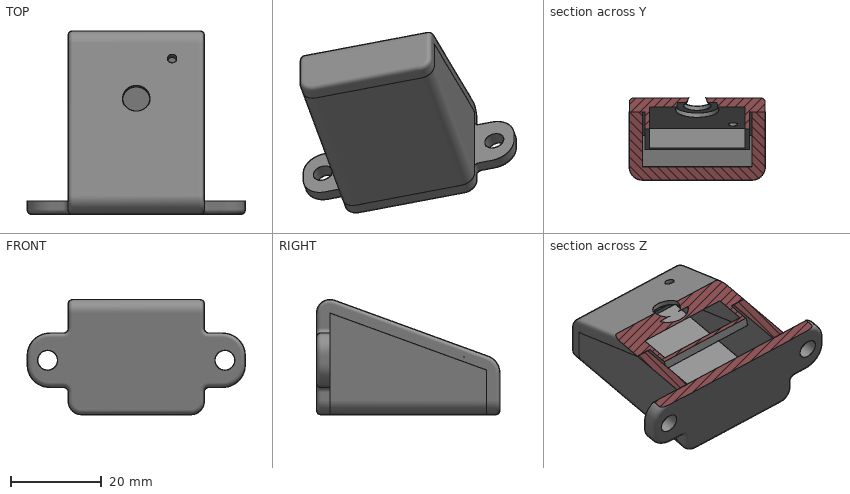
import cadquery as cq
import math

body_width = 30.0
body_depth = 40.37
body_height = 25.37
slope_angle = 20.0
front_top_radius = 3.0
back_top_radius = 4.0
bottom_side_radius = 3.0
edge_radius = 1.0

ear_span = 48.0
ear_height = 12.0
ear_center_z = 12.0
ear_thickness = 3.0
ear_corner_radius = 5.0
ear_root_radius = 1.0
screw_hole_diameter = 4.3
screw_hole_spacing = 39.0

cover_thickness = 3.0
base_thickness = 3.0

window_y = 25.55
window_diameter = 6.0
window_lip = 1.0
window_recess_diameter = 9.5
pinhole_diameter = 2.0
pinhole_x = 7.9
pinhole_offset = 9.3

pocket_width = 21.0
pocket_length = 24.0
pocket_top_depth = 2.0
rim_end_depth = 6.5
rim_thickness = 1.0

slope = math.radians(slope_angle)
slope_start_y = front_top_radius * (1 + math.sin(slope))
slope_start_z = body_height - front_top_radius * (1 - math.cos(slope))
overlap = 1.0


def slope_z(y):
    """Height of the sloping outer face at depth y."""
    return slope_start_z - (y - slope_start_y) * math.tan(slope)


def wedge(width, wall, bottom_z):
    """Sharp-edged body wedge, set in by `wall` from the front, back and slope."""
    front_y = wall
    back_y = body_depth - wall
    drop = wall / math.cos(slope)
    return (
        cq.Workplane("YZ")
        .moveTo(front_y, bottom_z)
        .lineTo(back_y, bottom_z)
        .lineTo(back_y, slope_z(back_y) - drop)
        .lineTo(front_y, slope_z(front_y) - drop)
        .close()
        .extrude(width / 2, both=True)
    )


def ear_plate():
    plate = (
        cq.Workplane("XY")
        .box(ear_span, ear_thickness, ear_height, centered=(True, False, True))
        .translate((0, 0, ear_center_z))
    )
    return plate.edges("|Y").fillet(ear_corner_radius)


def outer_shape():
    """Rounded outside of the closed enclosure, ears included, without holes or hollow."""
    block = wedge(body_width, 0, 0)
    block = block.faces("<Y").edges(">Z").fillet(front_top_radius)
    block = block.faces(">Y").edges(">Z").fillet(back_top_radius)
    block = block.edges("|Y").fillet(bottom_side_radius)
    block = block.union(ear_plate())

    margin = 0.1
    ear_roots = cq.selectors.BoxSelector(
        (-body_width / 2 - margin, -margin, ear_center_z - ear_height / 2 - margin),
        (body_width / 2 + margin, ear_thickness + margin, ear_center_z + ear_height / 2 + margin),
    )
    block = block.edges("|Y").edges(ear_roots).fillet(ear_root_radius)
    return block.faces("<Y or >Y").edges().fillet(edge_radius)


def below_panel(depth):
    """Workplane parallel to the slope, under the window centre, facing into the enclosure."""
    inward = cq.Vector(0, -math.sin(slope), -math.cos(slope))
    origin = cq.Vector(0, window_y, slope_z(window_y)) + inward * depth
    return cq.Workplane(cq.Plane(origin=origin, xDir=(1, 0, 0), normal=inward))


def pocket_rim():
    """Wall around the pocket, starting inside the panel."""
    return (
        below_panel(pocket_top_depth)
        .rect(pocket_width + 2 * rim_thickness, pocket_length + 2 * rim_thickness)
        .extrude(rim_end_depth - pocket_top_depth)
    )


def panel_openings():
    """Pocket, stepped window and pinhole as one cutting tool."""
    pocket = (
        below_panel(pocket_top_depth)
        .rect(pocket_width, pocket_length)
        .extrude(rim_end_depth - pocket_top_depth)
    )
    recess = (
        below_panel(window_lip)
        .circle(window_recess_diameter / 2)
        .extrude(pocket_top_depth - window_lip)
    )
    window = below_panel(-overlap).circle(window_diameter / 2).extrude(pocket_top_depth + overlap)
    pinhole = (
        below_panel(-overlap)
        .center(pinhole_x, -pinhole_offset)
        .circle(pinhole_diameter / 2)
        .extrude(pocket_top_depth + overlap)
    )
    return pocket.union(recess).union(window).union(pinhole)


def screw_holes():
    return (
        cq.Workplane("XZ", origin=(0, 0, ear_center_z))
        .pushPoints([(-screw_hole_spacing / 2, 0), (screw_hole_spacing / 2, 0)])
        .circle(screw_hole_diameter / 2)
        .extrude(-ear_thickness)
    )


def make_cover(outer):
    """Front wall with ears, sloping panel and back wall."""
    cover = outer.cut(wedge(ear_span, cover_thickness, -overlap))
    cover = cover.union(pocket_rim())
    return cover.cut(panel_openings()).cut(screw_holes())


def make_base(outer):
    """Two wedge-shaped sides joined by the floor, filling the inside of the cover."""
    base = outer.intersect(wedge(body_width, cover_thickness, 0))
    hollow = wedge(body_width - 2 * base_thickness, 0, base_thickness)
    return base.cut(hollow)


outer = outer_shape()
cover = make_cover(outer)
base = make_base(outer)

result = cq.Compound.makeCompound([cover.solids().val(), base.solids().val()])